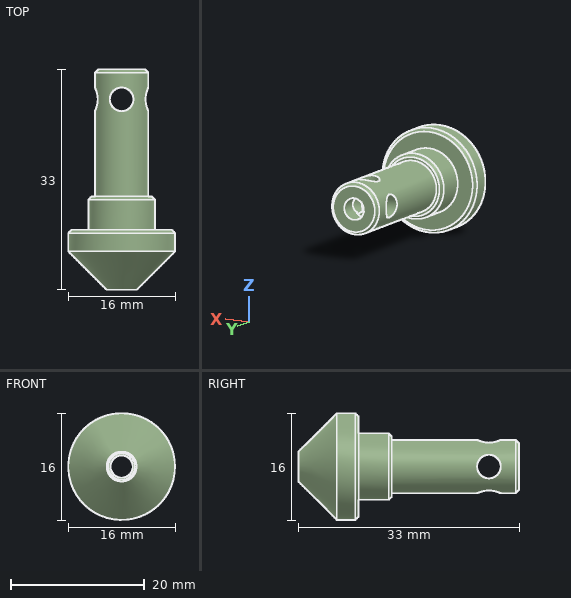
import cadquery as cq

total_length = 33.0
head_diameter = 16.0
head_length = 9.0
tip_diameter = 4.5
cone_length = (head_diameter - tip_diameter) / 2
collar_diameter = 10.0
collar_length = 5.0
shank_diameter = 8.0
edge_chamfer = 0.5

main_bore_diameter = 4.0
end_bore_diameter = 3.3

cross_hole_diameter = 3.5
cross_hole_end_distance = 4.5
cross_hole_y = total_length - cross_hole_end_distance


def turned_body():
    """Revolve the outer outline (radius, Y) about the Y axis."""
    head_radius = head_diameter / 2
    collar_radius = collar_diameter / 2
    shank_radius = shank_diameter / 2
    collar_end = head_length + collar_length
    outline = [
        (0, 0),
        (tip_diameter / 2, 0),
        (head_radius, cone_length),
        (head_radius, head_length - edge_chamfer),
        (head_radius - edge_chamfer, head_length),
        (collar_radius, head_length),
        (collar_radius, collar_end - edge_chamfer),
        (collar_radius - edge_chamfer, collar_end),
        (shank_radius, collar_end),
        (shank_radius, total_length - edge_chamfer),
        (shank_radius - edge_chamfer, total_length),
        (0, total_length),
    ]
    return cq.Workplane("XY").polyline(outline).close().revolve(360, (0, 0), (0, 1))


def axial_bore():
    """Main bore from the cone tip to the cross holes, then a narrower bore out of the shank end."""
    main_radius = main_bore_diameter / 2
    end_radius = end_bore_diameter / 2
    outline = [
        (0, 0),
        (main_radius, 0),
        (main_radius, cross_hole_y),
        (end_radius, cross_hole_y),
        (end_radius, total_length),
        (0, total_length),
    ]
    return cq.Workplane("XY").polyline(outline).close().revolve(360, (0, 0), (0, 1))


def cross_hole(plane_name):
    """Hole across the shank, normal to the named plane."""
    return (
        cq.Workplane(plane_name, origin=(0, cross_hole_y, 0))
        .circle(cross_hole_diameter / 2)
        .extrude(shank_diameter, both=True)
    )


result = turned_body().cut(axial_bore())
for plane_name in ("XY", "YZ"):
    result = result.cut(cross_hole(plane_name))